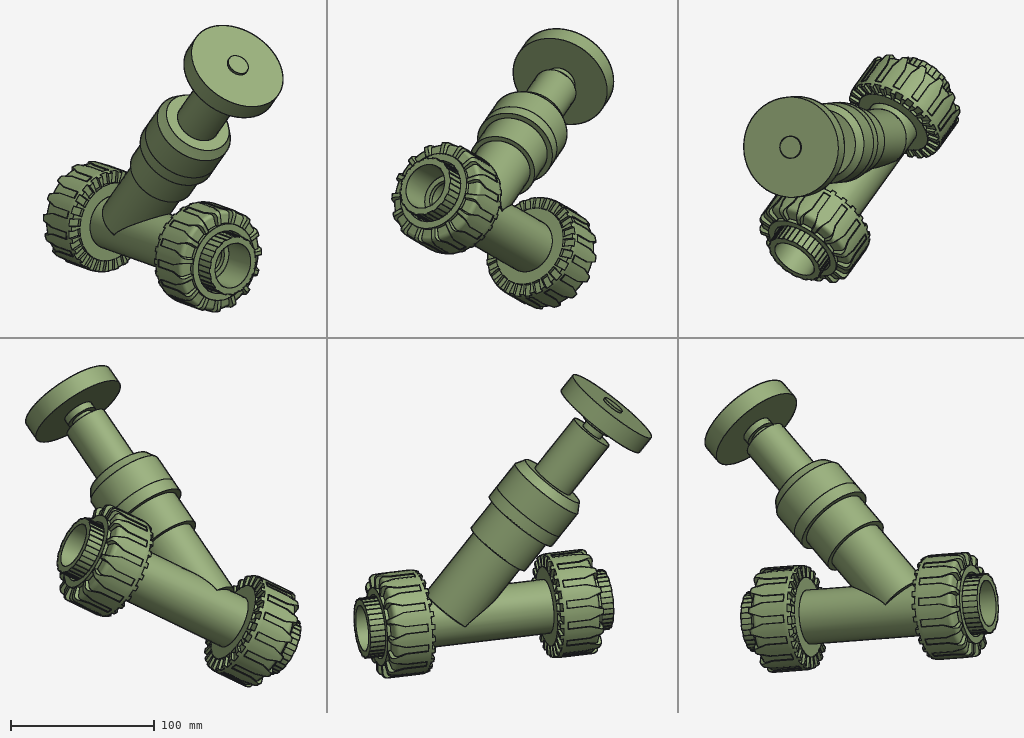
import cadquery as cq
import math


PIPE_DIA = 38.0
FLOW_BORE_DIA = 24.0

SPINDLE_X = -30.0
SPINDLE_ANGLE = 50

BRANCH_DIA = 41.3
BRANCH_START = 7.3
SLEEVE_DIA = 48.1
SLEEVE_START = 63.0
COLLAR_DIA = 55.9
COLLAR_START = 88.2
BONNET_START = 97.1

CAP_CHAMFER_START = 117.5
CAP_TOP = 124.2
CAP_TOP_DIA = 48
TUBE_DIA = 31.0
TUBE_TOP = 168.5
STEM_DIA = 15.5
HUB_DIA = 22.0
HUB_START = 173.5
WHEEL_DIA = 70.0
WHEEL_START = 178.5
WHEEL_TOP = 191.7
BUTTON_TOP = 193.5

NUT_BACK = 45.5
NUT_FRONT = 78.0
NUT_OPENING_DIA = 45.0
GRIP_DIA = 73.2
GROOVE_DIA = 71.7
COLLAR_EDGE = 50.6
COLLAR_BACK_DIA = 71.3
FRONT_RIM_DIA = 55.0
POCKET_DEPTH = 2.5
POCKET_SLOPE = 0.8
EDGE_ROUND = 3.1

LEFT_NUT_TURN = 179
RIGHT_NUT_TURN = 90

RIB_COUNT = 15
RIB_FRONT = 77.3
RIB_TAPER_START = 66.7
RIB_WIDTH = 10.0
RIB_TIP_WIDTH = 3.0
RIB_ROOT_DIA = 53.8

NOTCH_COUNT = 25
NOTCH_WIDTH = 5.5
NOTCH_DEPTH = 2.3
BACK_RIM_DIA = 55.9

TAIL_END = 88.4
TAIL_DIA = 42.0
SOCKET_DIA = 32.0
SOCKET_DEPTH = 24.0
FLUTE_COUNT = 16
FLUTE_DEPTH = 0.6
FLANGE_DIA = 51.3
FLANGE_THICKNESS = 8.3
LIP_THICKNESS = 8.3
FLANGE_FRONT = NUT_FRONT - LIP_THICKNESS
PIPE_END = FLANGE_FRONT - FLANGE_THICKNESS


def cylinder(diameter, start, end):
    """Cylinder on the Z axis between two heights."""
    return cq.Workplane("XY").workplane(offset=start).circle(diameter / 2).extrude(end - start)


def ring(outer_diameter, inner_diameter, start, end):
    """Tube on the Z axis between two heights."""
    return cylinder(outer_diameter, start, end).cut(cylinder(inner_diameter, start, end))


def around(feature, count, phase=0):
    """Copies of a feature evenly spaced around the Z axis, the first turned by the phase angle."""
    copies = cq.Workplane("XY")
    for index in range(count):
        copies = copies.add(feature.rotate((0, 0, 0), (0, 0, 1), phase + index * 360 / count))
    return copies.combine()


def onto_spindle(part):
    """Turn a part from the Z axis onto the leaning spindle axis."""
    return part.rotate((0, 0, 0), (0, 1, 0), 90 - SPINDLE_ANGLE).translate((SPINDLE_X, 0, 0))


def onto_pipe(part, side):
    """Turn a part from the Z axis onto the pipe axis, pointing toward -X (side -1) or +X (side 1)."""
    return part.rotate((0, 0, 0), (0, 1, 0), side * 90)


def make_housing():
    """Pipe with its stepped branch, up to the flat joint with the bonnet."""
    branch = (
        cylinder(BRANCH_DIA, BRANCH_START, SLEEVE_START)
        .union(cylinder(SLEEVE_DIA, SLEEVE_START, COLLAR_START))
        .union(cylinder(COLLAR_DIA, COLLAR_START, BONNET_START))
    )
    pipe = onto_pipe(cylinder(PIPE_DIA, -PIPE_END, PIPE_END), 1)
    bore = onto_pipe(cylinder(FLOW_BORE_DIA, -PIPE_END, PIPE_END), 1)
    return pipe.union(onto_spindle(branch)).cut(bore)


def make_bonnet():
    """Bonnet cap, stem tube, stem and handwheel turned as one piece."""
    outline = [
        (0, BONNET_START),
        (COLLAR_DIA / 2, BONNET_START),
        (COLLAR_DIA / 2, CAP_CHAMFER_START),
        (CAP_TOP_DIA / 2, CAP_TOP),
        (TUBE_DIA / 2, CAP_TOP),
        (TUBE_DIA / 2, TUBE_TOP),
        (STEM_DIA / 2, TUBE_TOP),
        (STEM_DIA / 2, HUB_START),
        (HUB_DIA / 2, HUB_START),
        (HUB_DIA / 2, WHEEL_START),
        (WHEEL_DIA / 2, WHEEL_START),
        (WHEEL_DIA / 2, WHEEL_TOP),
        (STEM_DIA / 2, WHEEL_TOP),
        (STEM_DIA / 2, BUTTON_TOP),
        (0, BUTTON_TOP),
    ]
    turned = cq.Workplane("XZ").polyline(outline).close().revolve(360, (0, 0, 0), (0, 1, 0))
    return onto_spindle(turned)


def rounded_shoulder(outline, radius, height):
    """Continue an outline up a cylinder and around its convex front edge."""
    mid_offset = EDGE_ROUND * (1 - math.sqrt(0.5))
    return outline.lineTo(radius, height - EDGE_ROUND).threePointArc(
        (radius - mid_offset, height - mid_offset),
        (radius - EDGE_ROUND, height),
    )


def nut_core():
    """Turned core: groove floor, rounded shoulder, sloping pocket floor and front rim."""
    rim_radius = FRONT_RIM_DIA / 2
    pocket_floor = NUT_FRONT - POCKET_DEPTH
    start = (NUT_BACK + COLLAR_EDGE) / 2
    outline = cq.Workplane("XZ").moveTo(0, start).lineTo(GROOVE_DIA / 2, start)
    return (
        rounded_shoulder(outline, GROOVE_DIA / 2, pocket_floor - POCKET_SLOPE)
        .lineTo(rim_radius, pocket_floor)
        .lineTo(rim_radius, NUT_FRONT)
        .lineTo(0, NUT_FRONT)
        .close()
        .revolve(360, (0, 0, 0), (0, 1, 0))
    )


def grip_blank():
    """Turned blank for the crowned back collar and the ribs."""
    crown_length = COLLAR_EDGE - NUT_BACK
    crown_drop = (GRIP_DIA - COLLAR_BACK_DIA) / 2
    crown_radius = (crown_length**2 + crown_drop**2) / (2 * crown_drop)
    outline = (
        cq.Workplane("XZ")
        .moveTo(0, NUT_BACK)
        .lineTo(COLLAR_BACK_DIA / 2, NUT_BACK)
        .radiusArc((GRIP_DIA / 2, COLLAR_EDGE), -crown_radius)
    )
    return (
        rounded_shoulder(outline, GRIP_DIA / 2, RIB_FRONT)
        .lineTo(0, RIB_FRONT)
        .close()
        .revolve(360, (0, 0, 0), (0, 1, 0))
    )


def groove_cutter(phase):
    """Space between the ribs, which narrow toward the front."""
    half_width = RIB_WIDTH / 2
    half_tip = RIB_TIP_WIDTH / 2
    rib = (
        cq.Workplane("YZ")
        .moveTo(-half_width, NUT_BACK)
        .lineTo(half_width, NUT_BACK)
        .lineTo(half_width, RIB_TAPER_START)
        .lineTo(half_tip, RIB_FRONT)
        .lineTo(half_tip, TAIL_END)
        .lineTo(-half_tip, TAIL_END)
        .lineTo(-half_tip, RIB_FRONT)
        .lineTo(-half_width, RIB_TAPER_START)
        .close()
        .extrude(GRIP_DIA)
    )
    cutter = ring(GRIP_DIA + 4.2, RIB_ROOT_DIA, COLLAR_EDGE, RIB_FRONT + 2)
    for index in range(RIB_COUNT):
        cutter = cutter.cut(rib.rotate((0, 0, 0), (0, 0, 1), phase + index * 360 / RIB_COUNT))
    return cutter


def back_notches(phase):
    """Cutters for the notches around the back rim."""
    slot = cq.Workplane("XY").box(GRIP_DIA, NOTCH_WIDTH, NOTCH_DEPTH, centered=(False, True, False))
    slot = slot.translate((0, 0, NUT_BACK))
    zone = ring(GRIP_DIA + 2, BACK_RIM_DIA, NUT_BACK, NUT_BACK + NOTCH_DEPTH)
    return around(slot.intersect(zone), NOTCH_COUNT, phase)


def make_nut(side, turn):
    """Union nut closed on the pipe, with a seat for the tail flange behind its front lip."""
    nut = grip_blank().cut(groove_cutter(turn))
    nut = nut.union(nut_core())
    nut = nut.cut(back_notches(turn))
    nut = nut.cut(cylinder(PIPE_DIA, NUT_BACK, PIPE_END))
    nut = nut.cut(cylinder(FLANGE_DIA, PIPE_END, FLANGE_FRONT))
    nut = nut.cut(cylinder(NUT_OPENING_DIA, FLANGE_FRONT, NUT_FRONT))
    return onto_pipe(nut, side)


def make_tail(side):
    """Flanged tail piece with a fluted outside and a pipe socket."""
    half_pitch = 180 / FLUTE_COUNT
    flute_width = TAIL_DIA * math.sin(math.radians(half_pitch / 2))
    slot = (
        cq.Workplane("XY")
        .box(TAIL_DIA, flute_width, TAIL_END - FLANGE_FRONT, centered=(False, True, False))
        .translate((0, 0, FLANGE_FRONT))
    )
    flute_zone = ring(TAIL_DIA + 2, TAIL_DIA - 2 * FLUTE_DEPTH, FLANGE_FRONT, TAIL_END)
    flutes = around(slot.intersect(flute_zone), FLUTE_COUNT, half_pitch)
    tail = cylinder(TAIL_DIA, PIPE_END, TAIL_END).cut(flutes)
    tail = tail.union(cylinder(FLANGE_DIA, PIPE_END, FLANGE_FRONT))
    tail = tail.cut(cylinder(SOCKET_DIA, TAIL_END - SOCKET_DEPTH, TAIL_END))
    tail = tail.cut(cylinder(FLOW_BORE_DIA, PIPE_END, TAIL_END))
    return onto_pipe(tail, side)


housing = make_housing()
bonnet = make_bonnet()

nuts = [
    make_nut(-1, LEFT_NUT_TURN),
    make_nut(1, RIGHT_NUT_TURN),
]
tails = [make_tail(side) for side in (-1, 1)]

result = cq.Compound.makeCompound(
    [
        housing.val(),
        bonnet.val(),
        *[nut.val() for nut in nuts],
        *[tail.val() for tail in tails],
    ]
)